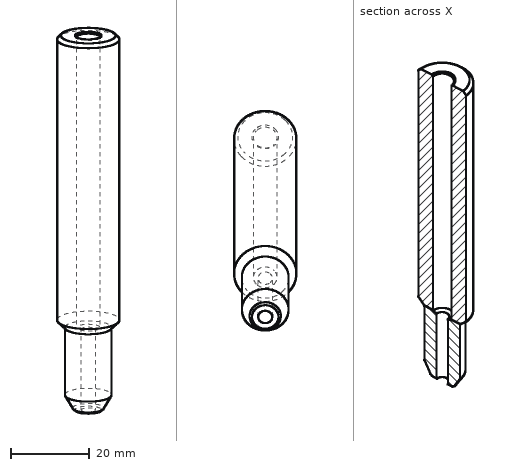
import cadquery as cq
import math

TOTAL_LENGTH = 100.0
SLEEVE_RADIUS = 8.0
TIP_RADIUS = 6.0

SLEEVE_BOTTOM_Z = 22.0
SLEEVE_SHOULDER_SIZE = SLEEVE_RADIUS - TIP_RADIUS
SLEEVE_TOP_CHAMFER = 1.0
BORE_RADIUS = 3.0
BORE_MOUTH_CHAMFER = 0.4

TIP_CONE_HEIGHT = 4.0
TIP_CONE_END_RADIUS = 4.0
TIP_EDGE_HEIGHT = 0.5
TIP_FACE_RADIUS = 3.4
OUTLET_RADIUS = 1.8
FUNNEL_ANGLE = 140
FUNNEL_HEIGHT = (BORE_RADIUS - OUTLET_RADIUS) / math.tan(math.radians(FUNNEL_ANGLE / 2))


def revolve_profile(points):
    """Turn a closed (radius, height) outline about the Z axis."""
    return cq.Workplane("XZ").polyline(points).close().revolve(360, (0, 0), (0, 1))


def make_sleeve():
    """Tube with a tapered lower shoulder, a chamfered top rim and a chamfered bore mouth."""
    return revolve_profile([
        (BORE_RADIUS, SLEEVE_BOTTOM_Z),
        (TIP_RADIUS, SLEEVE_BOTTOM_Z),
        (SLEEVE_RADIUS, SLEEVE_BOTTOM_Z + SLEEVE_SHOULDER_SIZE),
        (SLEEVE_RADIUS, TOTAL_LENGTH - SLEEVE_TOP_CHAMFER),
        (SLEEVE_RADIUS - SLEEVE_TOP_CHAMFER, TOTAL_LENGTH),
        (BORE_RADIUS + BORE_MOUTH_CHAMFER, TOTAL_LENGTH),
        (BORE_RADIUS, TOTAL_LENGTH - BORE_MOUTH_CHAMFER),
    ])


def make_tip():
    """Nozzle with a tapered nose and a funnel leading into a narrow outlet."""
    return revolve_profile([
        (OUTLET_RADIUS, 0),
        (TIP_FACE_RADIUS, 0),
        (TIP_CONE_END_RADIUS, TIP_EDGE_HEIGHT),
        (TIP_RADIUS, TIP_CONE_HEIGHT),
        (TIP_RADIUS, SLEEVE_BOTTOM_Z),
        (BORE_RADIUS, SLEEVE_BOTTOM_Z),
        (OUTLET_RADIUS, SLEEVE_BOTTOM_Z - FUNNEL_HEIGHT),
    ])


sleeve = make_sleeve()
tip = make_tip()

result = cq.Compound.makeCompound([sleeve.val(), tip.val()])